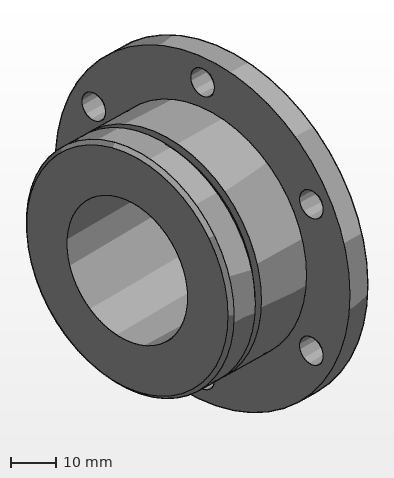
import cadquery as cq

total_length = 31.0
flange_diameter = 88.0
flange_thickness = 6.0
hub_diameter = 62.0
nose_chamfer = 1.0
bore_diameter = 36.0

groove_diameter = 58.0
groove_width = 2.0
groove_offset = 8.0

bolt_hole_diameter = 7.0
bolt_circle_diameter = 75.0
bolt_hole_count = 6
first_bolt_angle = 90.0


def cylinder(diameter, start, length):
    """Solid cylinder around Y, running from Y = start toward +Y."""
    plane = cq.Workplane("XZ", origin=(0, start, 0))
    return plane.circle(diameter / 2).extrude(-length)


hub = cylinder(hub_diameter, 0, total_length).faces("<Y").chamfer(nose_chamfer)
flange = cylinder(flange_diameter, total_length - flange_thickness, flange_thickness)
body = hub.union(flange)

groove = cylinder(hub_diameter, groove_offset, groove_width).cut(
    cylinder(groove_diameter, groove_offset, groove_width)
)

bore = cylinder(bore_diameter, 0, total_length)

bolt_holes = (
    cq.Workplane("XZ", origin=(0, total_length - flange_thickness, 0))
    .polarArray(bolt_circle_diameter / 2, first_bolt_angle, 360, bolt_hole_count)
    .circle(bolt_hole_diameter / 2)
    .extrude(-flange_thickness)
)

result = body.cut(groove).cut(bore).cut(bolt_holes)